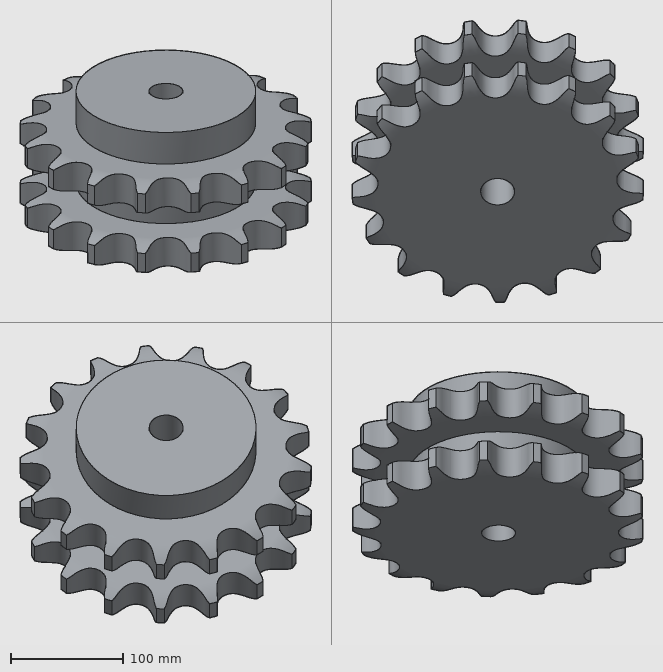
import cadquery as cq
import math


tooth_count = 17
pitch_radius = 121.0
roller_diameter = 28.0
tip_radius = 130.0
crown_start_radius = 109.7
plate_thickness = 28.8
strand_spacing = 59.7
hub_diameter = 160.0
bore_diameter = 30.0
total_height = 120.0

half_tooth_angle = math.pi / tooth_count
chain_pitch = 2 * pitch_radius * math.sin(half_tooth_angle)
crown_radius = chain_pitch

seat_radius = 0.5025 * roller_diameter
working_offset = 0.8 * roller_diameter
topping_offset = 1.4 * roller_diameter
working_radius = seat_radius + working_offset
seat_angle = math.radians(35 + 60 / tooth_count)
working_angle = math.radians(18 - 56 / tooth_count)
flank_angle = seat_angle - working_angle


def polar(center, radius, angle):
    """Point at the given radius and angle (radians) from a center."""
    return (center[0] + radius * math.cos(angle), center[1] + radius * math.sin(angle))


def mirrored(point):
    return (-point[0], point[1])


def make_tooth_gap():
    """Cutter for the space between two teeth, centered on the +Y axis."""
    roller_center = (0, pitch_radius)
    working_center = polar(roller_center, working_offset, math.pi - seat_angle)
    topping_center = polar(roller_center, topping_offset, -half_tooth_angle)

    topping_distance = (
        (topping_center[0] - working_center[0]) * math.cos(flank_angle)
        - (topping_center[1] - working_center[1]) * math.sin(flank_angle)
    )
    topping_radius = topping_distance - working_radius

    tip_swing = math.acos((topping_offset - chain_pitch / 2) / topping_radius)
    flank_end_angle = math.pi - flank_angle
    peak_angle = math.pi - half_tooth_angle - tip_swing

    seat_bottom = polar(roller_center, seat_radius, -math.pi / 2)
    seat_end = polar(roller_center, seat_radius, -seat_angle)
    working_mid = polar(working_center, working_radius, -(seat_angle + flank_angle) / 2)
    working_end = polar(working_center, working_radius, -flank_angle)
    flank_end = polar(topping_center, topping_radius, flank_end_angle)
    topping_mid = polar(topping_center, topping_radius, (flank_end_angle + peak_angle) / 2)
    peak = polar(topping_center, topping_radius, peak_angle)

    return (
        cq.Workplane("XY")
        .moveTo(*mirrored(peak))
        .threePointArc(mirrored(topping_mid), mirrored(flank_end))
        .lineTo(*mirrored(working_end))
        .threePointArc(mirrored(working_mid), mirrored(seat_end))
        .threePointArc(seat_bottom, seat_end)
        .threePointArc(working_mid, working_end)
        .lineTo(*flank_end)
        .threePointArc(topping_mid, peak)
        .close()
        .extrude(plate_thickness)
    )


def make_plate_blank():
    """Disc whose rim is rounded on both sides by arcs tangent to the flat faces."""
    def crown_drop(radius):
        return crown_radius - math.sqrt(crown_radius**2 - (radius - crown_start_radius) ** 2)

    mid_radius = (crown_start_radius + tip_radius) / 2
    mid_drop = crown_drop(mid_radius)
    tip_drop = crown_drop(tip_radius)
    return (
        cq.Workplane("XZ")
        .lineTo(crown_start_radius, 0)
        .threePointArc((mid_radius, mid_drop), (tip_radius, tip_drop))
        .lineTo(tip_radius, plate_thickness - tip_drop)
        .threePointArc((mid_radius, plate_thickness - mid_drop), (crown_start_radius, plate_thickness))
        .lineTo(0, plate_thickness)
        .close()
        .revolve(360, (0, 0, 0), (0, 1, 0))
    )


def make_toothed_plate():
    plate = make_plate_blank()
    gap = make_tooth_gap()
    for index in range(tooth_count):
        plate = plate.cut(gap.rotate((0, 0, 0), (0, 0, 1), index * 360 / tooth_count))
    return plate


toothed_plate = make_toothed_plate()
hub = cq.Workplane("XY").circle(hub_diameter / 2).extrude(total_height)
bore = cq.Workplane("XY").circle(bore_diameter / 2).extrude(total_height)

result = (
    hub
    .union(toothed_plate)
    .union(toothed_plate.translate((0, 0, strand_spacing)))
    .cut(bore)
)